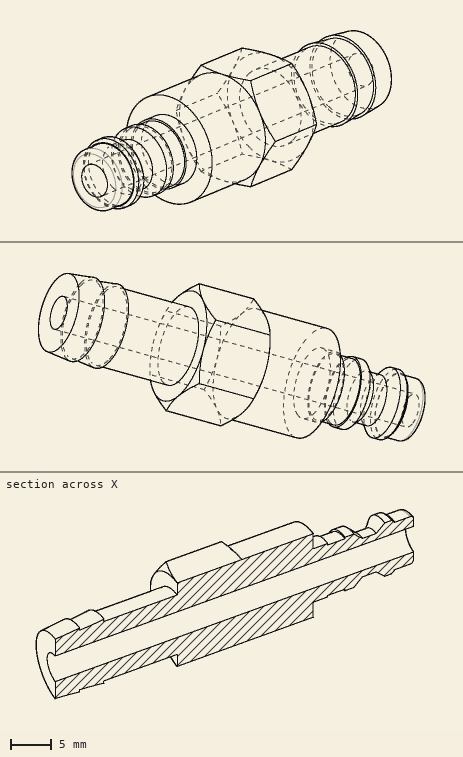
import cadquery as cq
import math

total_length = 50.0
bore_diameter = 4.2

tail_diameter = 10.0
barb_diameter = 10.75
barb_pitch = 3.4
barb_count = 2

hex_across_flats = 14.0
hex_length = 9.0
hex_chamfer_angle = 30.0
collar_diameter = hex_across_flats
collar_length = 10.0

plug_length = 14.0
plug_diameter = 9.0
recess_diameter = 8.5
recess_start = 9.6
recess_end = 12.0
neck_diameter = 6.5
neck_start = 5.25
neck_end = 7.15
neck_taper_length = 1.2
nose_diameter = 8.0
nose_length = 2.7
land_chamfer = 0.4
tip_radius = 0.55

hex_start = plug_length + collar_length
hex_end = hex_start + hex_length


def revolve_about_axis(profile):
    """Turn a closed (radius, y) profile drawn in the XY plane around the Y axis."""
    return profile.close().revolve(360, (0, 0, 0), (0, 1, 0))


def cylinder(diameter, start, end):
    """Round bar on the Y axis between two axial positions."""
    return revolve_about_axis(
        cq.Workplane("XY")
        .moveTo(0, start)
        .lineTo(diameter / 2, start)
        .lineTo(diameter / 2, end)
        .lineTo(0, end)
    )


def make_plug():
    """Stepped plug with rounded tip, locking neck and shallow recess."""
    plug_radius = plug_diameter / 2
    recess_radius = recess_diameter / 2
    neck_radius = neck_diameter / 2
    nose_radius = nose_diameter / 2
    arc_inset = tip_radius * (1 - math.sqrt(0.5))
    return revolve_about_axis(
        cq.Workplane("XY")
        .lineTo(nose_radius - tip_radius, 0)
        .threePointArc((nose_radius - arc_inset, arc_inset), (nose_radius, tip_radius))
        .lineTo(nose_radius, nose_length)
        .lineTo(plug_radius - land_chamfer, nose_length)
        .lineTo(plug_radius, nose_length + land_chamfer)
        .lineTo(plug_radius, neck_start - neck_taper_length)
        .lineTo(neck_radius, neck_start)
        .lineTo(neck_radius, neck_end)
        .lineTo(plug_radius, neck_end + neck_taper_length)
        .lineTo(plug_radius, recess_start)
        .lineTo(recess_radius, recess_start)
        .lineTo(recess_radius, recess_end)
        .lineTo(plug_radius, recess_end)
        .lineTo(plug_radius, plug_length)
        .lineTo(0, plug_length)
    )


def make_hexagon():
    """Hexagon with corners on the X axis, its corners turned off conically at both ends."""
    corner_radius = hex_across_flats / math.sqrt(3)
    flat_radius = hex_across_flats / 2
    chamfer_height = (corner_radius - flat_radius) * math.tan(math.radians(hex_chamfer_angle))
    prism = (
        cq.Workplane("XZ", origin=(0, hex_start, 0))
        .polygon(6, 2 * corner_radius)
        .extrude(-hex_length)
    )
    envelope = revolve_about_axis(
        cq.Workplane("XY")
        .moveTo(0, hex_start)
        .lineTo(flat_radius, hex_start)
        .lineTo(corner_radius, hex_start + chamfer_height)
        .lineTo(corner_radius, hex_end - chamfer_height)
        .lineTo(flat_radius, hex_end)
        .lineTo(0, hex_end)
    )
    return prism.intersect(envelope)


def make_barb(wide_end):
    """Conical barb that narrows to the tail diameter towards the hose end."""
    narrow_end = wide_end + barb_pitch
    return revolve_about_axis(
        cq.Workplane("XY")
        .moveTo(0, wide_end)
        .lineTo(barb_diameter / 2, wide_end)
        .lineTo(tail_diameter / 2, narrow_end)
        .lineTo(0, narrow_end)
    )


def make_hose_tail():
    """Plain tail carrying a row of barbs up to the hose end."""
    barbs_start = total_length - barb_count * barb_pitch
    tail = cylinder(tail_diameter, hex_end, barbs_start)
    for index in range(barb_count):
        tail = tail.union(make_barb(barbs_start + index * barb_pitch))
    return tail


collar = cylinder(collar_diameter, plug_length, hex_start)
bore = cylinder(bore_diameter, 0, total_length)

body = make_plug().union(collar).union(make_hexagon()).union(make_hose_tail())
result = body.cut(bore)